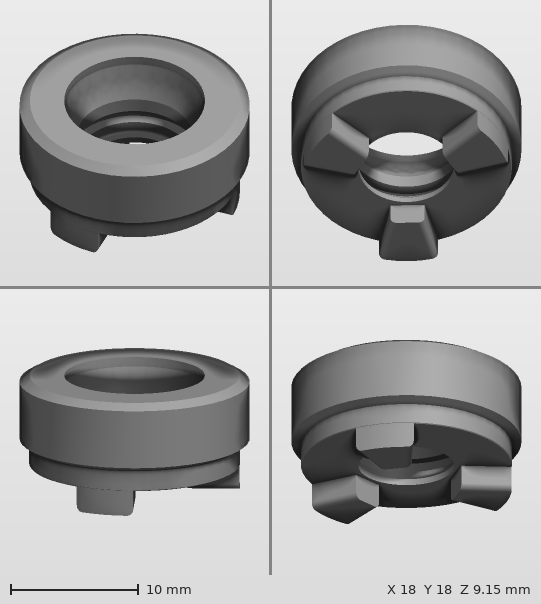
import cadquery as cq
import math

total_height = 9.15
lug_height = 2.0
shoulder_bottom = 3.64

rim_radius = 9.0
neck_radius = 16.5 / 2
face_radius = 8.19
bevel_slope = math.tan(math.radians(30))
top_bevel_height = (rim_radius - face_radius) * bevel_slope
shoulder_height = (rim_radius - neck_radius) * bevel_slope
neck_chamfer = 0.07

mouth_radius = 11.0 / 2
mouth_depth = 0.75
bowl_depth = 3.45
bowl_arc_radius = 9.9
bore_radius = 4.5
groove_radius = 10.5 / 2
groove_top_depth = 4.6
groove_bottom_depth = 5.7
groove_wall_slope = math.tan(math.radians(4))
seat_depth = 6.65
seat_fillet = 0.2
hole_radius = 7.5 / 2

lug_count = 3
first_lug_angle = 60
lug_outer_radius = 8.23
lug_inner_x = 4.09
lug_outer_half_width = 2.3
lug_inner_half_width = 1.33
lug_edge_fillet = 0.5


def make_ring():
    """Revolve the outside of the ring as a solid disc."""
    rim_bottom = shoulder_bottom + shoulder_height
    return (
        cq.Workplane("XZ")
        .moveTo(0, lug_height)
        .lineTo(neck_radius - neck_chamfer, lug_height)
        .lineTo(neck_radius, lug_height + neck_chamfer)
        .lineTo(neck_radius, shoulder_bottom)
        .lineTo(rim_radius, rim_bottom)
        .lineTo(rim_radius, total_height - top_bevel_height)
        .lineTo(face_radius, total_height)
        .lineTo(0, total_height)
        .close()
        .revolve(360, (0, 0, 0), (0, 1, 0))
    )


def make_bore():
    """Revolve the space inside the ring: mouth, bowl, groove, seat and hole."""
    mouth_bottom = total_height - mouth_depth
    bowl_bottom = total_height - bowl_depth
    groove_top = total_height - groove_top_depth
    groove_bottom = total_height - groove_bottom_depth
    seat = total_height - seat_depth
    groove_taper = (groove_radius - bore_radius) * groove_wall_slope

    chord_run = mouth_radius - bore_radius
    chord_drop = mouth_bottom - bowl_bottom
    chord = math.hypot(chord_run, chord_drop)
    bulge = bowl_arc_radius - math.sqrt(bowl_arc_radius**2 - (chord / 2) ** 2)
    bowl_middle = (
        (mouth_radius + bore_radius) / 2 + bulge * chord_drop / chord,
        (mouth_bottom + bowl_bottom) / 2 - bulge * chord_run / chord,
    )

    fillet_inset = seat_fillet * (1 - math.sqrt(0.5))
    fillet_middle = (bore_radius - fillet_inset, seat + fillet_inset)

    return (
        cq.Workplane("XZ")
        .moveTo(0, total_height)
        .lineTo(mouth_radius, total_height)
        .lineTo(mouth_radius, mouth_bottom)
        .threePointArc(bowl_middle, (bore_radius, bowl_bottom))
        .lineTo(bore_radius, groove_top)
        .lineTo(groove_radius, groove_top - groove_taper)
        .lineTo(groove_radius, groove_bottom + groove_taper)
        .lineTo(bore_radius, groove_bottom)
        .lineTo(bore_radius, seat + seat_fillet)
        .threePointArc(fillet_middle, (bore_radius - seat_fillet, seat))
        .lineTo(hole_radius, seat)
        .lineTo(hole_radius, 0)
        .lineTo(0, 0)
        .close()
        .revolve(360, (0, 0, 0), (0, 1, 0))
    )


def make_lug():
    """Wedge-shaped lug along +X, rounded below its sides and sunk into the ring by the neck chamfer."""
    outer_x = math.sqrt(lug_outer_radius**2 - lug_outer_half_width**2)
    return (
        cq.Workplane("XY")
        .moveTo(lug_inner_x, -lug_inner_half_width)
        .lineTo(outer_x, -lug_outer_half_width)
        .threePointArc((lug_outer_radius, 0), (outer_x, lug_outer_half_width))
        .lineTo(lug_inner_x, lug_inner_half_width)
        .close()
        .extrude(lug_height + neck_chamfer)
        .faces("<Z")
        .edges("%LINE and (not |Y)")
        .fillet(lug_edge_fillet)
    )


result = make_ring().cut(make_bore())
lug = make_lug()
for index in range(lug_count):
    angle = first_lug_angle + index * 360 / lug_count
    result = result.union(lug.rotate((0, 0, 0), (0, 0, 1), angle))